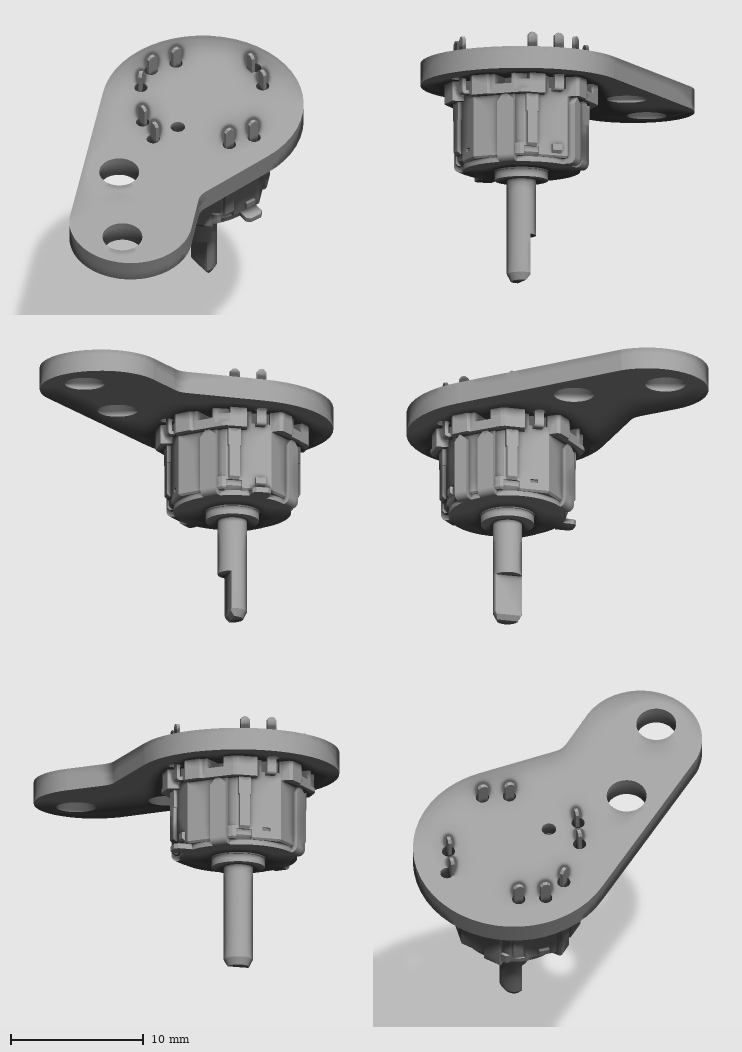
import cadquery as cq
import math

QUARTER_TURNS = [0, 90, 180, 270]
CORNER_TURNS = [-45, 45, 135, 225]
GROUND_TURN = -45
OVERLAP = 0.25

PLATE_THICKNESS = 1.67
HEAD_RADIUS = 7.6
TAIL_RADIUS = 4.63
TAIL_X, TAIL_Y = 7.49, -12.0
HEAD_TANGENT_ANGLE = 4.6
TAIL_TANGENT_ANGLE = 44.8
HEAD_LEFT_ANGLE = 225
TAIL_LEFT_ANGLE = 229.4
NECK_RADIUS = 1.5
MOUNT_DIAMETER = 3.0
MOUNT_POINTS = [(2.5, -9.5), (8.5, -13.5)]
PIN_HOLE_DIAMETER = 1.0
PIN_OFFSET = 1.0
INNER_HOLE_REACH = 4.85
OUTER_HOLE_REACH = 5.28
SHIFTED_HOLE_REACH = 5.52
BOSS_X, BOSS_Y = 1.0, -3.0
BOSS_HOLE_DIAMETER = 1.1

CORE_APOTHEM = 4.63
FLANGE_DEPTH = 1.48
CORE_DEPTH = 6.18
CORE_CHAMFER = 0.15
FLANGE_QUARTER = [
    (-1.8, -5.5), (-0.22, -5.5), (0, -CORE_APOTHEM), (1.9, -CORE_APOTHEM),
    (2.42, -5.06), (2.71, -5.06), (3.6, -4.22), (3.6, -3.93), (5.35, -2.08),
]
FLANGE_CORNER_REACH = 5.3
WINDOW_DEPTH = 0.75
WINDOW_CUT = 1.85
SIDE_NOTCH_NEAR, SIDE_NOTCH_FAR = 1.48, 2.67
SIDE_NOTCH_NEAR_REACH, SIDE_NOTCH_FAR_REACH = 5.5, 4.85
SIDE_NOTCH_STEP, SIDE_NOTCH_DEPTH = 0.45, 1.16
SIDE_NOTCH_STEP_REACH = 4.95

STRIP_REACH = 4.92
STRIP_CENTRE = -1.02
STRIP_WIDE, STRIP_NARROW = 0.97, 0.8
STRIP_STEP_DEPTH = 2.8
STRIP_DEPTH = 5.45
STRIP_CHAMFER = 0.22
SLIT_LEFT, SLIT_RIGHT = 0.45, 1.07
SLIT_TOP, SLIT_DEPTH = 5.2, 5.48
SLIT_CUT = 0.2
LIP_LEFT, LIP_RIGHT = -1.62, -0.39
LIP_CUT = 0.12
LIP_KNEE = 5.86
CATCH_LEFT, CATCH_RIGHT = 0.63, 1.4
CATCH_TOP, CATCH_KNEE, CATCH_BOTTOM = 5.2, 5.67, 6.05
CATCH_REACH = 4.9
CHANNEL_RIGHT = 2.18
CHANNEL_REACH = 4.4
CHANNEL_DEPTH = 5.2

COVER_RADIUS = 4.43
COVER_DEPTH = 6.57
LEG_LEFT, LEG_RIGHT = 0.15, 1.48
LEG_REACH = 4.9
LEG_BEND_RADIUS = 0.48
LEG_ROOT = 0.97
LEG_KINK_DEPTH = 1.99
LEG_TOP_CHAMFER = 0.4
GROUND_LEG_LEFT, GROUND_LEG_RIGHT = -1.7, -0.7
GROUND_LEG_REACH = 5.14
COVER_TAB_REACH = 5.52
COVER_TAB_WIDTH = 1.45
COVER_TAB_CHAMFER = 0.27

BUSHING_DIAMETER = 4.02
BUSHING_DEPTH = 7.27
COLLAR_DIAMETER = 4.17
COLLAR_DEPTH = 6.66
SHAFT_DIAMETER = 2.2
SHAFT_DEPTH = 14.97
SHAFT_TIP_LENGTH = 0.55
SHAFT_TIP_INSET = 0.3
FLAT_START_DEPTH = 11.45
FLAT_REACH = 0.35
FLAT_TIP_LENGTH = 0.36
BOSS_DIAMETER = 1.0
BOSS_HEIGHT = 0.8
BOSS_TIP_LENGTH = 0.36
BOSS_TIP_INSET = 0.182

PIN_TOP = 3.22
PIN_WIDTH = 0.73
PIN_SHEET = 0.27
PIN_TIP_CHAMFER = 0.22
PIN_ROOT_DEPTH = 0.48
INNER_PIN_REACH = 4.95
OUTER_PIN_REACH = 5.28
OUTER_PIN_DEPTH = 1.16
PIN_BEND_RADIUS = 0.22
GROUND_PIN_CENTRE = -1.05
GROUND_PIN_REACH = 5.02
PIN_POCKET_LEFT, PIN_POCKET_RIGHT = 0.36, 1.8
PIN_POCKET_DEPTH = 0.92
PIN_POCKET_CUT = 0.36


def turned(shape, angle):
    return shape.rotate((0, 0, 0), (0, 0, 1), angle)


def side_box(left, right, inner, outer, top, bottom):
    """Box on the -Y side: left/right along X, inner/outer distances from the axis."""
    return (
        cq.Workplane("XY", origin=(0, 0, bottom))
        .moveTo((left + right) / 2, -(inner + outer) / 2)
        .rect(right - left, outer - inner)
        .extrude(top - bottom)
    )


def side_profile(left, right, points):
    """Prism on the -Y side from (distance from the axis, z) points."""
    profile = [(-reach, z) for reach, z in points]
    return cq.Workplane("YZ", origin=(left, 0, 0)).polyline(profile).close().extrude(right - left)


def octagon(apothem, top, bottom):
    half_step = 180 / 8
    across_corners = 2 * apothem / math.cos(math.radians(half_step))
    prism = cq.Workplane("XY", origin=(0, 0, bottom)).polygon(8, across_corners).extrude(top - bottom)
    return turned(prism, half_step)


def hanging_cylinder(diameter, depth):
    """Cylinder on the axis from the base of the core down to a depth."""
    base = cq.Workplane("XY", origin=(0, 0, -depth)).circle(diameter / 2)
    return base.extrude(depth - CORE_DEPTH)


def polar(radius, degrees, x=0, y=0):
    angle = math.radians(degrees)
    return (x + radius * math.cos(angle), y + radius * math.sin(angle))


def quarter_turned_point(x, y, turns):
    for _ in range(turns):
        x, y = -y, x
    return (x, y)


def neck_corner():
    """Crossing of the tangent lines on the right of the head and of the tail."""
    c1, s1 = polar(1, HEAD_TANGENT_ANGLE)
    c2, s2 = polar(1, TAIL_TANGENT_ANGLE)
    tail_distance = TAIL_X * c2 + TAIL_Y * s2 + TAIL_RADIUS
    determinant = c1 * s2 - s1 * c2
    x = (HEAD_RADIUS * s2 - s1 * tail_distance) / determinant
    y = (c1 * tail_distance - HEAD_RADIUS * c2) / determinant
    return (x, y)


def plate_outline():
    """Head and tail arcs joined by a straight left edge and a rounded neck."""
    tail_middle = (TAIL_LEFT_ANGLE + TAIL_TANGENT_ANGLE + 360) / 2
    head_middle = (HEAD_LEFT_ANGLE + HEAD_TANGENT_ANGLE) / 2
    body = (
        cq.Workplane("XY")
        .moveTo(*polar(HEAD_RADIUS, HEAD_LEFT_ANGLE))
        .lineTo(*polar(TAIL_RADIUS, TAIL_LEFT_ANGLE, TAIL_X, TAIL_Y))
        .threePointArc(
            polar(TAIL_RADIUS, tail_middle, TAIL_X, TAIL_Y),
            polar(TAIL_RADIUS, TAIL_TANGENT_ANGLE, TAIL_X, TAIL_Y),
        )
        .lineTo(*neck_corner())
        .lineTo(*polar(HEAD_RADIUS, HEAD_TANGENT_ANGLE))
        .threePointArc(polar(HEAD_RADIUS, head_middle), polar(HEAD_RADIUS, HEAD_LEFT_ANGLE))
        .close()
        .extrude(PLATE_THICKNESS)
    )
    neck_edge = cq.selectors.NearestToPointSelector((*neck_corner(), PLATE_THICKNESS / 2))
    return body.edges("|Z").edges(neck_edge).fillet(NECK_RADIUS)


def pin_hole_points():
    points = []
    for turns in range(4):
        outer_reach = SHIFTED_HOLE_REACH if turns == 2 else OUTER_HOLE_REACH
        points.append(quarter_turned_point(PIN_OFFSET, -outer_reach, turns))
        points.append(quarter_turned_point(-PIN_OFFSET, -INNER_HOLE_REACH, turns))
    ground_x, ground_y = GROUND_PIN_CENTRE, -(GROUND_PIN_REACH - PIN_SHEET / 2)
    half_root = math.sqrt(0.5)
    points.append(((ground_x + ground_y) * half_root, (ground_y - ground_x) * half_root))
    return points


def shifted_pin_slot():
    """Slot that matches the outer pin where it stands past the edge of the shifted hole."""
    left, right = PIN_OFFSET - PIN_WIDTH / 2, PIN_OFFSET + PIN_WIDTH / 2
    return side_box(left, right, OUTER_PIN_REACH - PIN_SHEET, OUTER_PIN_REACH, PLATE_THICKNESS, 0)


def make_plate():
    def holes(points, diameter):
        return cq.Workplane("XY").pushPoints(points).circle(diameter / 2).extrude(PLATE_THICKNESS)

    body = plate_outline()
    body = body.cut(holes(MOUNT_POINTS, MOUNT_DIAMETER))
    body = body.cut(holes(pin_hole_points(), PIN_HOLE_DIAMETER))
    body = body.cut(holes([(BOSS_X, BOSS_Y)], BOSS_HOLE_DIAMETER))
    return body.cut(turned(shifted_pin_slot(), 180))


def make_flange():
    outline = [quarter_turned_point(x, y, turns) for turns in range(4) for x, y in FLANGE_QUARTER]
    return cq.Workplane("XY").polyline(outline).close().extrude(-FLANGE_DEPTH)


def corner_window():
    """Pocket in the flange above a corner leg, open at the top."""
    inner = FLANGE_CORNER_REACH - WINDOW_CUT
    return side_box(LEG_LEFT, LEG_RIGHT, inner, FLANGE_CORNER_REACH + OVERLAP, 0, -WINDOW_DEPTH)


def corner_channel():
    """Shallow recess beside a corner leg, ending above the base of the core."""
    return side_box(
        LEG_RIGHT, CHANNEL_RIGHT, CHANNEL_REACH, CORE_APOTHEM, -FLANGE_DEPTH, -CHANNEL_DEPTH
    )


def side_notch():
    """Slanting key notch across a flange corner, cut back further at its top."""
    outside = SIDE_NOTCH_NEAR_REACH + OVERLAP
    slant = (
        cq.Workplane("XY")
        .moveTo(-SIDE_NOTCH_NEAR, -SIDE_NOTCH_NEAR_REACH)
        .lineTo(-SIDE_NOTCH_FAR, -SIDE_NOTCH_FAR_REACH)
        .lineTo(-SIDE_NOTCH_FAR, -outside)
        .lineTo(-SIDE_NOTCH_NEAR, -outside)
        .close()
        .extrude(-SIDE_NOTCH_DEPTH)
    )
    step = side_box(
        -SIDE_NOTCH_FAR, -SIDE_NOTCH_NEAR, SIDE_NOTCH_STEP_REACH, outside, 0, -SIDE_NOTCH_STEP
    )
    return slant.union(step)


def side_strip():
    """Strip standing on a side of the core: wide above, narrow and chamfered below."""
    def part(width, bottom):
        left = STRIP_CENTRE - width / 2
        return side_box(left, left + width, CORE_APOTHEM - OVERLAP, STRIP_REACH, -FLANGE_DEPTH, -bottom)

    narrow = part(STRIP_NARROW, STRIP_DEPTH).edges("<Y and <Z").chamfer(STRIP_CHAMFER)
    return narrow.union(part(STRIP_WIDE, STRIP_STEP_DEPTH))


def side_catch():
    """Wedge catch with a flat top and a sloping underside."""
    return side_profile(CATCH_LEFT, CATCH_RIGHT, [
        (CORE_APOTHEM - OVERLAP, -CATCH_TOP),
        (CATCH_REACH, -CATCH_TOP),
        (CATCH_REACH, -CATCH_KNEE),
        (CORE_APOTHEM - OVERLAP, -CATCH_BOTTOM),
    ])


def lip_recess():
    """Shallow recess below a strip, its floor sloping inward at the bottom."""
    floor = CORE_APOTHEM - LIP_CUT
    return side_profile(LIP_LEFT, LIP_RIGHT, [
        (CORE_APOTHEM, -STRIP_DEPTH),
        (floor, -STRIP_DEPTH),
        (floor, -LIP_KNEE),
        (floor - CORE_DEPTH + LIP_KNEE, -CORE_DEPTH),
        (CORE_APOTHEM, -CORE_DEPTH),
    ])


def make_core():
    core = octagon(CORE_APOTHEM, -OVERLAP, -CORE_DEPTH).faces("<Z").chamfer(CORE_CHAMFER)
    core = core.union(make_flange())
    pocket = side_box(
        PIN_POCKET_LEFT, PIN_POCKET_RIGHT,
        CORE_APOTHEM - PIN_POCKET_CUT, CORE_APOTHEM + OVERLAP,
        0, -PIN_POCKET_DEPTH,
    )
    for angle in QUARTER_TURNS:
        core = core.cut(turned(pocket, angle))
        core = core.cut(turned(lip_recess(), angle))
        core = core.union(turned(side_strip(), angle))
    for angle in CORNER_TURNS:
        core = core.cut(turned(corner_window(), angle))
        core = core.cut(turned(corner_channel(), angle))
    for angle in (-90, 90):
        core = core.cut(turned(side_notch(), angle))
        core = core.union(turned(side_catch(), angle))
    slit = side_box(SLIT_LEFT, SLIT_RIGHT, CORE_APOTHEM - SLIT_CUT, CORE_APOTHEM, -SLIT_TOP, -SLIT_DEPTH)
    return core.cut(slit).cut(turned(slit, 180))


def corner_leg(left, right, reach):
    """Cover leg: rounded at the bottom bend, tapered at both sides below the flange."""
    leg = side_box(left, right, reach - LEG_ROOT, reach, -FLANGE_DEPTH, -COVER_DEPTH)
    leg = leg.edges("<Y and <Z").fillet(LEG_BEND_RADIUS)
    return leg.edges("|Y and >Z").chamfer(LEG_KINK_DEPTH - FLANGE_DEPTH, LEG_TOP_CHAMFER)


def make_cover():
    cover = hanging_cylinder(2 * COVER_RADIUS, COVER_DEPTH)
    leg = corner_leg(LEG_LEFT, LEG_RIGHT, LEG_REACH)
    for angle in CORNER_TURNS:
        cover = cover.union(turned(leg, angle))
    ground_leg = corner_leg(GROUND_LEG_LEFT, GROUND_LEG_RIGHT, GROUND_LEG_REACH)
    tab_left = PIN_OFFSET - COVER_TAB_WIDTH / 2
    tab = side_box(
        tab_left, tab_left + COVER_TAB_WIDTH,
        COVER_RADIUS - OVERLAP, COVER_TAB_REACH,
        -CORE_DEPTH, -COVER_DEPTH,
    )
    tab = tab.edges("<Y and |Z").chamfer(COVER_TAB_CHAMFER)
    return cover.union(turned(ground_leg, GROUND_TURN)).union(turned(tab, 90))


def make_shaft():
    bushing = hanging_cylinder(BUSHING_DIAMETER, BUSHING_DEPTH)
    collar = hanging_cylinder(COLLAR_DIAMETER, COLLAR_DEPTH)
    shaft = hanging_cylinder(SHAFT_DIAMETER, SHAFT_DEPTH)
    shaft = shaft.faces("<Z").chamfer(SHAFT_TIP_LENGTH, SHAFT_TIP_INSET)
    radius = SHAFT_DIAMETER / 2
    flat = side_profile(-radius, radius, [
        (radius, -FLAT_START_DEPTH),
        (FLAT_REACH, -FLAT_START_DEPTH),
        (FLAT_REACH, -SHAFT_DEPTH + FLAT_TIP_LENGTH),
        (FLAT_REACH - SHAFT_TIP_INSET, -SHAFT_DEPTH),
        (radius, -SHAFT_DEPTH),
    ])
    return bushing.union(collar).union(shaft.cut(flat))


def make_boss():
    base = cq.Workplane("XY", origin=(BOSS_X, BOSS_Y, -OVERLAP)).circle(BOSS_DIAMETER / 2)
    boss = base.extrude(BOSS_HEIGHT + OVERLAP)
    return boss.faces(">Z").chamfer(BOSS_TIP_LENGTH, BOSS_TIP_INSET)


def make_pin(centre, reach, depth):
    left, right = centre - PIN_WIDTH / 2, centre + PIN_WIDTH / 2
    pin = side_box(left, right, reach - PIN_SHEET, reach, PIN_TOP, -depth)
    return pin.edges("|Y and >Z").chamfer(PIN_TIP_CHAMFER)


def make_outer_pin():
    """Pin standing in front of the core on a foot bent inward."""
    foot = side_box(
        PIN_OFFSET - PIN_WIDTH / 2, PIN_OFFSET + PIN_WIDTH / 2,
        CORE_APOTHEM - OVERLAP, OUTER_PIN_REACH,
        -OUTER_PIN_DEPTH + PIN_SHEET, -OUTER_PIN_DEPTH,
    )
    pin = make_pin(PIN_OFFSET, OUTER_PIN_REACH, OUTER_PIN_DEPTH).union(foot)
    return pin.edges("<Y and <Z").fillet(PIN_BEND_RADIUS)


def make_switch():
    switch = make_core().union(make_cover()).union(make_shaft()).union(make_boss())
    outer_pin = make_outer_pin()
    inner_pin = make_pin(-PIN_OFFSET, INNER_PIN_REACH, PIN_ROOT_DEPTH)
    for angle in QUARTER_TURNS:
        switch = switch.union(turned(outer_pin, angle)).union(turned(inner_pin, angle))
    ground_pin = make_pin(GROUND_PIN_CENTRE, GROUND_PIN_REACH, PIN_ROOT_DEPTH)
    return switch.union(turned(ground_pin, GROUND_TURN))


plate = make_plate()
switch = make_switch()
result = cq.Compound.makeCompound([plate.val(), switch.val()])